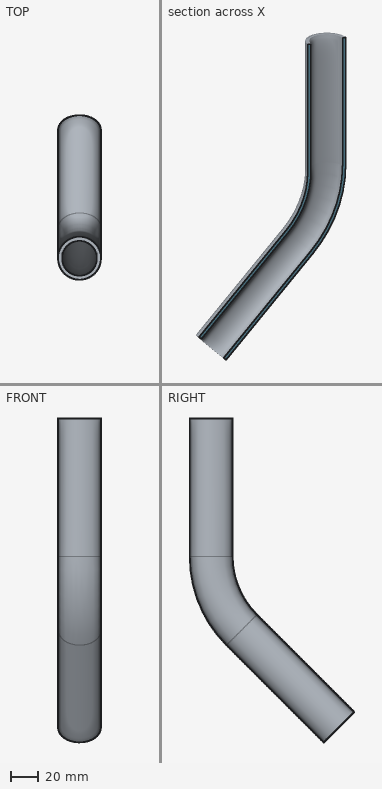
import cadquery as cq
import math

outer_diameter = 31.75
inner_diameter = 25.65
straight_length = 101.6
bend_radius = 76.2
bend_angle = 45.0


def bend_point(angle_degrees):
    """Point (y, z) on the bend centreline, at an angle from the start of the bend."""
    angle = math.radians(angle_degrees)
    return (bend_radius * (1 - math.cos(angle)), -bend_radius * math.sin(angle))


def tube_centreline():
    """Vertical leg, bend toward +Y, then an inclined leg; the bend starts at the origin."""
    bend_end = bend_point(bend_angle)
    angle = math.radians(bend_angle)
    leg_end = (
        bend_end[0] + straight_length * math.sin(angle),
        bend_end[1] - straight_length * math.cos(angle),
    )
    return (
        cq.Workplane("YZ")
        .moveTo(0, straight_length)
        .lineTo(0, 0)
        .threePointArc(bend_point(bend_angle / 2), bend_end)
        .lineTo(*leg_end)
    )


tube_section = (
    cq.Workplane("XY", origin=(0, 0, straight_length))
    .circle(outer_diameter / 2)
    .circle(inner_diameter / 2)
)
result = tube_section.sweep(tube_centreline())